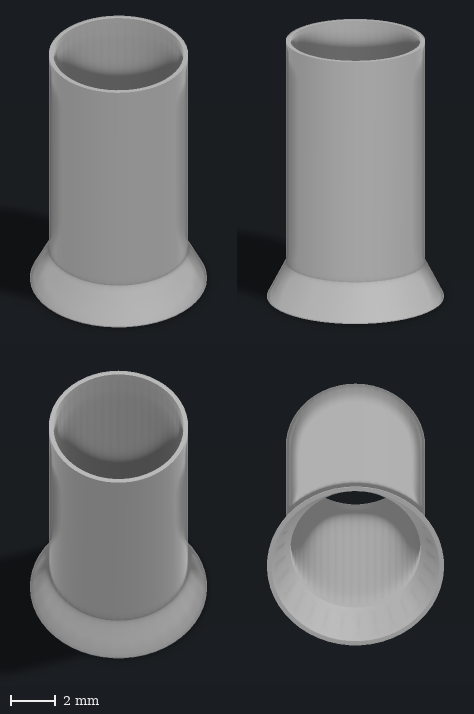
import cadquery as cq

length = 12.0
tube_outer_diameter = 6.22
wall = 0.2
flare_diameter = 7.9

flare_height = 1.68
rim_height = 0.05

tube_outer_radius = tube_outer_diameter / 2
tube_inner_radius = tube_outer_radius - wall
flare_outer_radius = flare_diameter / 2
flare_inner_radius = flare_outer_radius - wall

section = (
    cq.Workplane("XZ")
    .moveTo(flare_inner_radius, 0)
    .lineTo(flare_outer_radius, 0)
    .lineTo(flare_outer_radius, rim_height)
    .lineTo(tube_outer_radius, flare_height)
    .lineTo(tube_outer_radius, length)
    .lineTo(tube_inner_radius, length)
    .lineTo(tube_inner_radius, flare_height)
    .lineTo(flare_inner_radius, rim_height)
    .close()
)

result = section.revolve(360, (0, 0, 0), (0, 1, 0))